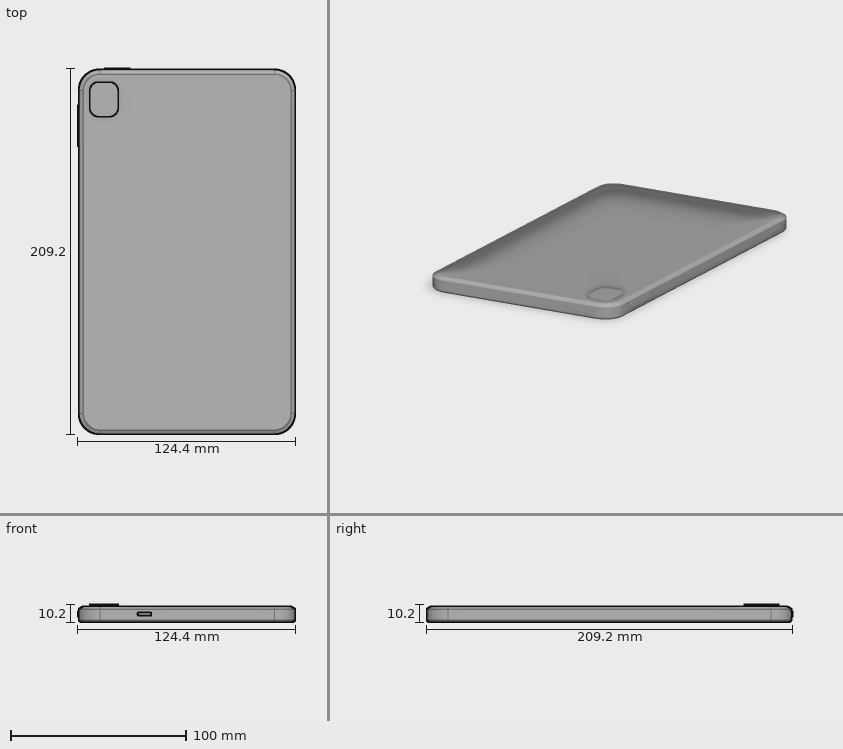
import cadquery as cq

OVERALL_X = 124.35
OVERALL_Y = 209.15
OVERALL_Z = 10.15

BUTTON_RISE = 0.5
CAMERA_RISE = 0.95

BODY_X = OVERALL_X - BUTTON_RISE
BODY_Y = OVERALL_Y - BUTTON_RISE
BODY_Z = OVERALL_Z - CAMERA_RISE
LEFT = -BODY_X / 2
FRONT = -BODY_Y / 2
REAR = BODY_Y / 2
CORNER_RADIUS = 12.0

BACK_BEVEL_WIDTH = 2.6
BACK_BEVEL_HEIGHT = 1.5
BACK_EDGE_RADIUS = 0.5
SCREEN_BEVEL = 1.1
SCREEN_EDGE_RADIUS = 0.9

CAMERA_X = 16.2
CAMERA_Y = 19.8
CAMERA_RADIUS = 5.0
CAMERA_LEFT_GAP = 6.4
CAMERA_REAR_GAP = 7.3

EDGE_DETAIL_Z = 4.7
BUTTON_WIDTH = 3.1
VOLUME_LENGTH = 23.5
VOLUME_REAR_GAP = 20.5
POWER_LENGTH = 14.2
POWER_LEFT_GAP = 14.9
PORT_LENGTH = 8.0
PORT_WIDTH = 2.1
PORT_LEFT_GAP = 33.6
PORT_DEPTH = 3.0

PICK_TOLERANCE = 0.01


def round_edges_at(body, height, radius):
    """Fillet the closed loop of edges that lies at the given height."""
    low_corner = (-OVERALL_X, -OVERALL_Y, height - PICK_TOLERANCE)
    high_corner = (OVERALL_X, OVERALL_Y, height + PICK_TOLERANCE)
    return body.edges(cq.selectors.BoxSelector(low_corner, high_corner)).fillet(radius)


def make_body():
    """Slab with rounded corners, beveled around the back and the screen."""
    body = cq.Workplane("XY").box(BODY_X, BODY_Y, BODY_Z, centered=(True, True, False))
    body = body.edges("|Z").fillet(CORNER_RADIUS)
    body = body.faces(">Z").chamfer(BACK_BEVEL_HEIGHT, BACK_BEVEL_WIDTH)
    body = body.faces("<Z").chamfer(SCREEN_BEVEL)
    body = round_edges_at(body, BODY_Z - BACK_BEVEL_HEIGHT, BACK_EDGE_RADIUS)
    body = round_edges_at(body, BODY_Z, BACK_EDGE_RADIUS)
    return round_edges_at(body, SCREEN_BEVEL, SCREEN_EDGE_RADIUS)


def make_camera():
    """Rounded plate near the left rear corner, rooted inside the body and standing on its back."""
    center_x = LEFT + CAMERA_LEFT_GAP + CAMERA_X / 2
    center_y = REAR - CAMERA_REAR_GAP - CAMERA_Y / 2
    root_z = BODY_Z / 2
    plate = cq.Workplane("XY", origin=(center_x, center_y, root_z))
    plate = plate.rect(CAMERA_X, CAMERA_Y).extrude(OVERALL_Z - root_z)
    return plate.edges("|Z").fillet(CAMERA_RADIUS)


def make_edge_slot(plane, center, length, width, reach):
    """Round-ended bar across a side wall, reaching equally far inward and outward."""
    return cq.Workplane(plane, origin=center).slot2D(length, width).extrude(reach, both=True)


def make_volume_button():
    """Long button on the left wall."""
    center = (LEFT, REAR - VOLUME_REAR_GAP - VOLUME_LENGTH / 2, EDGE_DETAIL_Z)
    return make_edge_slot("YZ", center, VOLUME_LENGTH, BUTTON_WIDTH, BUTTON_RISE)


def make_power_button():
    """Short button on the rear wall."""
    center = (LEFT + POWER_LEFT_GAP + POWER_LENGTH / 2, REAR, EDGE_DETAIL_Z)
    return make_edge_slot("XZ", center, POWER_LENGTH, BUTTON_WIDTH, BUTTON_RISE)


def make_port():
    """Volume of the blind charging port in the front wall."""
    center = (LEFT + PORT_LEFT_GAP + PORT_LENGTH / 2, FRONT, EDGE_DETAIL_Z)
    return make_edge_slot("XZ", center, PORT_LENGTH, PORT_WIDTH, PORT_DEPTH)


result = make_body().union(make_camera())
result = result.union(make_volume_button())
result = result.union(make_power_button())
result = result.cut(make_port())